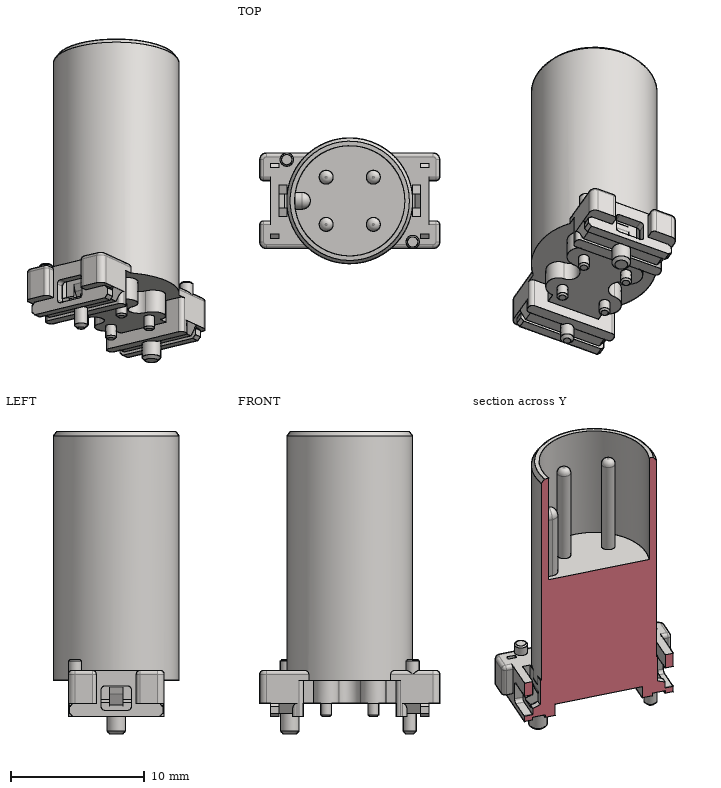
import cadquery as cq

TOTAL_HEIGHT = 22.7
FOOT_Z = 1.32
RAMP_Z = 1.55
WING_BOTTOM_Z = 2.32
SLEEVE_BOTTOM_Z = 4.05
WING_TOP_Z = 4.8
POST_TOP_Z = 5.58
BORE_FLOOR_Z = 13.62
KEY_TOP_Z = 19.3
CONTACT_TOP_Z = 21.43

SLEEVE_RADIUS = 4.72
BORE_RADIUS = 4.13
RIM_CHAMFER_WIDTH = 0.25
RIM_CHAMFER_HEIGHT = 0.35
KEY_RADIUS = 0.64
KEY_CENTER_X = -3.59

CONTACT_OFFSET = 1.77
CONTACT_RADIUS = 0.52
CONTACT_TIP_FILLET = 0.45
TAIL_RADIUS = 0.4
TAIL_CHAMFER = 0.14
LOBE_RADIUS = 0.95
LOBE_Y = 2.1

OVERALL_WIDTH = 13.5
WING_OUTER_X = OVERALL_WIDTH / 2
WING_INNER_X = 3.05
WING_HALF_DEPTH = 3.59
NOTCH_X = 5.95
NOTCH_HALF_DEPTH = 1.5
WING_CORNER_RADIUS = 0.5
EDGE_RADIUS = 0.3
INNER_WALL_X = 3.47
INNER_WALL_THICKNESS = 0.82
INNER_WALL_CORNER = 0.32
FOOT_THICKNESS = 0.65
FOOT_INNER_X = NOTCH_X - FOOT_THICKNESS
FOOT_HALF_DEPTH = 3.5
FOOT_CORNER = 0.25
RAMP_RUN = 0.5

WINDOW_HALF_DEPTH = 1.14
WINDOW_BOTTOM_Z = 1.8
WINDOW_TOP_Z = 3.6
WINDOW_CORNER = 0.27
SHAFT_INNER_X = 4.7
SHAFT_HALF_DEPTH = 1.18
SHAFT_FLOOR_LOW_Z = 2.35
SHAFT_FLOOR_HIGH_Z = 2.59
CHUTE_HALF_DEPTH = 0.52
CHUTE_TOP_Z = 3.52
CHUTE_BEND_Z = 3.0
CHUTE_BEND_DEPTH = 0.15
CHUTE_LIP_Z = 2.2
CHUTE_TAPER = 0.39
CHUTE_BOTTOM_Z = 1.7

CLIP_Y = 2.65
CLIP_HALF_DEPTH = 0.15
CLIP_DEPTH = 0.23

PEG_X = 4.5
LEFT_PEG_RADIUS = 0.7
RIGHT_PEG_RADIUS = 0.5
PEG_CHAMFER = 0.23
POST_X = 4.72
POST_RADIUS = 0.5
POST_CHAMFER = 0.11
POST_Y = WING_HALF_DEPTH - POST_RADIUS

CONTACT_POINTS = [(i * CONTACT_OFFSET, j * CONTACT_OFFSET) for i in (-1, 1) for j in (-1, 1)]


def block(x0, x1, y0, y1, z0, z1):
    """Box between two opposite corners."""
    return cq.Workplane("XY").box(x1 - x0, y1 - y0, z1 - z0, centered=False).translate((x0, y0, z0))


def rod(x, y, radius, z0, z1):
    """Upright cylinder from z0 to z1."""
    return cq.Workplane("XY").center(x, y).circle(radius).extrude(z1 - z0).translate((0, 0, z0))


def sleeve():
    """Tube with a chamfered rim, closed below the bore floor."""
    tube = rod(0, 0, SLEEVE_RADIUS, SLEEVE_BOTTOM_Z, TOTAL_HEIGHT)
    tube = tube.faces(">Z").chamfer(RIM_CHAMFER_HEIGHT, RIM_CHAMFER_WIDTH)
    return tube.cut(rod(0, 0, BORE_RADIUS, BORE_FLOOR_Z, TOTAL_HEIGHT))


def coding_key():
    """Round-nosed post against the bore wall with a domed, half-round top."""
    shoulder_z = KEY_TOP_Z - KEY_RADIUS
    back_x = -(BORE_RADIUS + SLEEVE_RADIUS) / 2
    post = rod(KEY_CENTER_X, 0, KEY_RADIUS, BORE_FLOOR_Z, shoulder_z)
    stem = block(back_x, KEY_CENTER_X, -KEY_RADIUS, KEY_RADIUS, BORE_FLOOR_Z, shoulder_z)
    ridge_base = cq.Workplane("YZ", origin=(back_x, 0, shoulder_z))
    ridge = ridge_base.circle(KEY_RADIUS).extrude(KEY_CENTER_X - back_x)
    dome = cq.Workplane("XY").sphere(KEY_RADIUS).translate((KEY_CENTER_X, 0, shoulder_z))
    return post.union(stem).union(ridge).union(dome)


def contact(x, y):
    """Pin with a rounded tip in the bore and a thinner solder tail underneath."""
    pin = rod(x, y, CONTACT_RADIUS, BORE_FLOOR_Z, CONTACT_TOP_Z)
    pin = pin.faces(">Z").edges().fillet(CONTACT_TIP_FILLET)
    tail = rod(x, y, TAIL_RADIUS, FOOT_Z, SLEEVE_BOTTOM_Z).faces("<Z").chamfer(TAIL_CHAMFER)
    return pin.union(tail)


def core():
    """Four lobes joined by concave flanks, with a web reaching the wing walls."""
    height_range = (WING_BOTTOM_Z, SLEEVE_BOTTOM_Z)
    flank_radius = CONTACT_OFFSET - LOBE_RADIUS
    body = block(-CONTACT_OFFSET, CONTACT_OFFSET, -LOBE_Y, LOBE_Y, *height_range)
    for y in (-LOBE_Y, LOBE_Y):
        body = body.cut(rod(0, y, flank_radius, *height_range))
        for x in (-CONTACT_OFFSET, CONTACT_OFFSET):
            body = body.union(rod(x, y, LOBE_RADIUS, *height_range))
    for x0, x1 in ((-INNER_WALL_X, -CONTACT_OFFSET), (CONTACT_OFFSET, INNER_WALL_X)):
        body = body.union(block(x0, x1, -LOBE_Y, LOBE_Y, *height_range))
    return body


def wing_body():
    """Notched block with rounded outer corners and top edges."""
    body = block(WING_INNER_X, WING_OUTER_X, -WING_HALF_DEPTH, WING_HALF_DEPTH, WING_BOTTOM_Z, WING_TOP_Z)
    body = body.edges("|Z and >X").fillet(WING_CORNER_RADIUS)
    notch = block(NOTCH_X, WING_OUTER_X, -NOTCH_HALF_DEPTH, NOTCH_HALF_DEPTH, WING_BOTTOM_Z, WING_TOP_Z)
    body = body.cut(notch)
    notch_corners = cq.selectors.BoxSelector(
        (WING_OUTER_X - EDGE_RADIUS, -NOTCH_HALF_DEPTH - EDGE_RADIUS, WING_BOTTOM_Z),
        (WING_OUTER_X + EDGE_RADIUS, NOTCH_HALF_DEPTH + EDGE_RADIUS, WING_TOP_Z),
    )
    body = body.edges("|Z").edges(notch_corners).fillet(EDGE_RADIUS)
    notch_floor_edge = cq.selectors.BoxSelector(
        (NOTCH_X - EDGE_RADIUS, -EDGE_RADIUS, WING_TOP_Z - EDGE_RADIUS),
        (NOTCH_X + EDGE_RADIUS, EDGE_RADIUS, WING_TOP_Z + EDGE_RADIUS),
    )
    rounded_edges = cq.selectors.SubtractSelector(cq.StringSyntaxSelector(">Z"), notch_floor_edge)
    body = body.edges(rounded_edges).fillet(EDGE_RADIUS)
    relief_x = INNER_WALL_X + INNER_WALL_CORNER
    return body.cut(
        block(WING_INNER_X, relief_x, -WING_HALF_DEPTH, WING_HALF_DEPTH, WING_BOTTOM_Z, SLEEVE_BOTTOM_Z)
    )


def wing_underside():
    """Inner wall, outer foot plate and the ramp-ended filling between them."""
    wall_outer_x = INNER_WALL_X + INNER_WALL_THICKNESS
    wall = block(INNER_WALL_X, wall_outer_x, -WING_HALF_DEPTH, WING_HALF_DEPTH, FOOT_Z, SLEEVE_BOTTOM_Z)
    wall = wall.edges("|Z").fillet(INNER_WALL_CORNER)
    foot = block(FOOT_INNER_X, NOTCH_X, -FOOT_HALF_DEPTH, FOOT_HALF_DEPTH, FOOT_Z, WING_BOTTOM_Z)
    foot = foot.edges("|X").chamfer(FOOT_CORNER)
    foot_root = block(
        FOOT_INNER_X, NOTCH_X, FOOT_CORNER - FOOT_HALF_DEPTH, FOOT_HALF_DEPTH - FOOT_CORNER,
        WING_BOTTOM_Z - FOOT_CORNER, WING_BOTTOM_Z + FOOT_CORNER,
    )
    filling = (
        cq.Workplane("YZ", origin=(wall_outer_x - INNER_WALL_CORNER, 0, 0))
        .moveTo(-WING_HALF_DEPTH, WING_BOTTOM_Z)
        .lineTo(RAMP_RUN - WING_HALF_DEPTH, RAMP_Z)
        .lineTo(WING_HALF_DEPTH - RAMP_RUN, RAMP_Z)
        .lineTo(WING_HALF_DEPTH, WING_BOTTOM_Z)
        .close()
        .extrude(FOOT_INNER_X - wall_outer_x + INNER_WALL_CORNER)
    )
    return wall.union(foot).union(foot_root).union(filling)


def wing_prism(points, half_depth):
    """Prism along Y from an outline given in X and Z."""
    return cq.Workplane("XZ", origin=(0, half_depth, 0)).polyline(points).close().extrude(2 * half_depth)


def snap_opening():
    """Side window meeting a vertical shaft with a gently sloping floor."""
    window = block(
        FOOT_INNER_X, NOTCH_X, -WINDOW_HALF_DEPTH, WINDOW_HALF_DEPTH, WINDOW_BOTTOM_Z, WINDOW_TOP_Z
    )
    window = window.edges("|X").fillet(WINDOW_CORNER)
    shaft_outline = [
        (SHAFT_INNER_X, WING_TOP_Z),
        (SHAFT_INNER_X, SHAFT_FLOOR_HIGH_Z),
        (FOOT_INNER_X, SHAFT_FLOOR_LOW_Z),
        (FOOT_INNER_X, WING_TOP_Z),
    ]
    return window.union(wing_prism(shaft_outline, SHAFT_HALF_DEPTH))


def chute():
    """Slanted recess that runs inward and down from the shaft."""
    bend_x = SHAFT_INNER_X - CHUTE_BEND_DEPTH
    inner_x = bend_x - CHUTE_TAPER
    outline = [
        (SHAFT_INNER_X, CHUTE_TOP_Z),
        (bend_x, CHUTE_BEND_Z),
        (inner_x, CHUTE_LIP_Z),
        (inner_x, CHUTE_BOTTOM_Z),
        (FOOT_INNER_X - CHUTE_TAPER, CHUTE_BOTTOM_Z),
        (FOOT_INNER_X, CHUTE_LIP_Z),
        (FOOT_INNER_X, CHUTE_TOP_Z),
    ]
    return wing_prism(outline, CHUTE_HALF_DEPTH)


def clip_pocket(side):
    """Small pocket in the wing top whose floor drops toward the wing's long side."""
    outer_y = side * (CLIP_Y + CLIP_HALF_DEPTH)
    inner_y = side * (CLIP_Y - CLIP_HALF_DEPTH)
    return (
        cq.Workplane("YZ", origin=(FOOT_INNER_X, 0, 0))
        .moveTo(inner_y, WING_TOP_Z)
        .lineTo(outer_y, WING_TOP_Z)
        .lineTo(outer_y, WING_TOP_Z - CLIP_DEPTH)
        .close()
        .extrude(FOOT_THICKNESS)
    )


def wing():
    """Complete +X wing without its pegs and posts."""
    body = wing_body().union(wing_underside()).cut(snap_opening()).cut(chute())
    for side in (-1, 1):
        body = body.cut(clip_pocket(side))
    return body


def locating_peg(x, radius):
    """Chamfered peg under a wing."""
    return rod(x, 0, radius, 0, CHUTE_BOTTOM_Z).faces("<Z").chamfer(PEG_CHAMFER)


def top_post(x, y):
    """Chamfered post standing on a wing, tangent to its long side."""
    return rod(x, y, POST_RADIUS, WING_TOP_Z - EDGE_RADIUS, POST_TOP_Z).faces(">Z").chamfer(POST_CHAMFER)


right_wing = wing()
result = sleeve().union(right_wing).union(right_wing.mirror("YZ")).union(core()).union(coding_key())
for contact_x, contact_y in CONTACT_POINTS:
    result = result.union(contact(contact_x, contact_y))
result = result.union(locating_peg(-PEG_X, LEFT_PEG_RADIUS)).union(locating_peg(PEG_X, RIGHT_PEG_RADIUS))
result = result.union(top_post(-POST_X, POST_Y)).union(top_post(POST_X, -POST_Y))